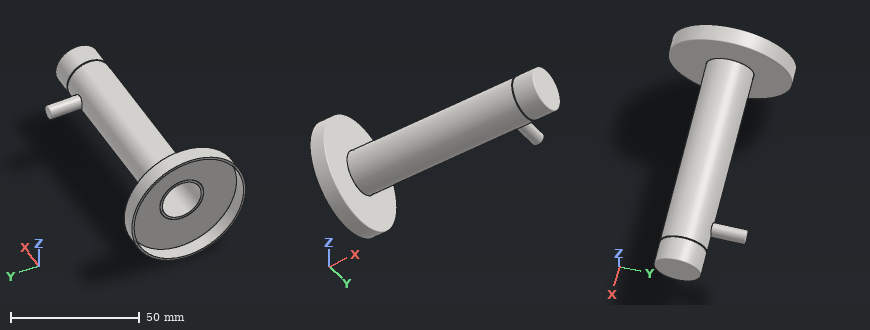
import cadquery as cq

edge_radius = 0.5

flange_diameter = 50.0
flange_thickness = 7.0
flange_wall = 1.0
flange_floor = 1.0
post_clearance = 0.1

post_diameter = 19.0
post_wall = 1.0
post_start = flange_thickness - flange_floor
post_end = 95.0
end_cap_length = 10.0
cap_start = post_end - end_cap_length

groove_width = 0.25
groove_depth = 0.25

peg_diameter = 6.0
peg_tip = 23.0
peg_distance_from_end = 20.0
peg_x = post_end - peg_distance_from_end


def cylinder_along_x(diameter, start, end):
    return cq.Workplane("YZ", origin=(start, 0, 0)).circle(diameter / 2).extrude(end - start)


def make_flange():
    disc = cylinder_along_x(flange_diameter, 0, flange_thickness)
    disc = disc.faces(">X").edges().fillet(edge_radius)
    recess = cylinder_along_x(flange_diameter - 2 * flange_wall, 0, flange_thickness - flange_floor)
    post_hole = cylinder_along_x(post_diameter + 2 * post_clearance, 0, flange_thickness)
    return disc.cut(recess).cut(post_hole)


def make_groove():
    groove_start = cap_start - groove_width
    outside = cylinder_along_x(post_diameter, groove_start, cap_start)
    core = cylinder_along_x(post_diameter - 2 * groove_depth, groove_start, cap_start)
    return outside.cut(core)


def make_peg():
    peg = cq.Workplane("XZ", origin=(peg_x, 0, 0)).circle(peg_diameter / 2).extrude(-peg_tip)
    return peg.faces(">Y").edges().fillet(edge_radius)


def make_post():
    rod = cylinder_along_x(post_diameter, post_start, post_end)
    rod = rod.faces(">X").edges().fillet(edge_radius)
    bore = cylinder_along_x(post_diameter - 2 * post_wall, post_start, cap_start)
    return rod.cut(make_groove()).union(make_peg()).cut(bore)


flange = make_flange()
post = make_post()

result = cq.Compound.makeCompound([flange.solids().val(), post.solids().val()])